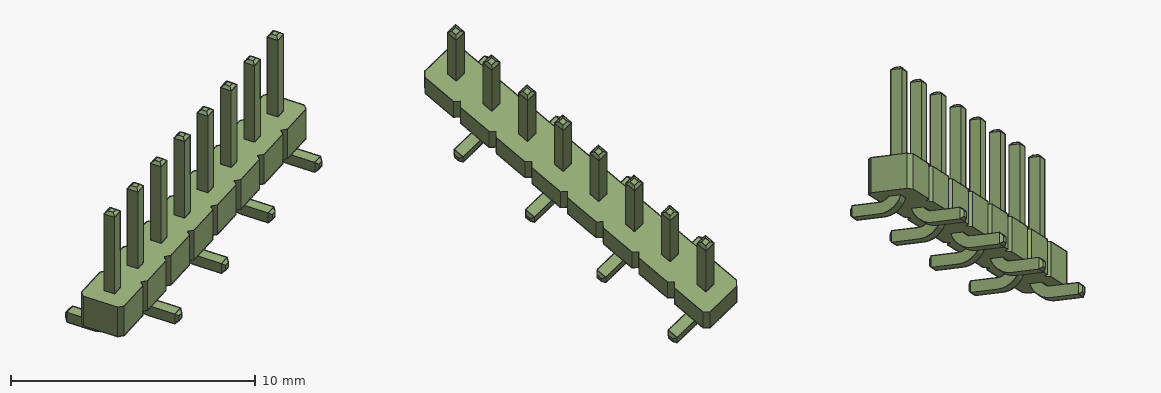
import cadquery as cq
import math


pin_count = 8
row_length = 16
pitch = row_length / pin_count
housing_width = pitch
housing_height = 1.5
housing_bottom = 0.7
corner_chamfer = pitch / 10

pin_size = pitch / 4
pin_top = 6.2
leg_reach = 2.1
bend_inner_radius = pin_size
bend_outer_radius = bend_inner_radius + pin_size
tip_chamfer = pin_size / 4


def housing_segment(y):
    """One cell of the housing, centred on y; chamfers of neighbours form the notches."""
    return (
        cq.Workplane("XY", origin=(0, y, housing_bottom))
        .rect(housing_width, pitch)
        .extrude(housing_height)
        .edges("|Z")
        .chamfer(corner_chamfer)
    )


def bent_pin():
    """Upright pin with its leg bent towards -X, centred on Y = 0."""
    half = pin_size / 2
    bend_x = half - bend_outer_radius
    bend_z = bend_outer_radius

    def bend_middle(radius):
        """Point halfway round the bend, at the given radius from its centre."""
        offset = radius * math.sqrt(0.5)
        return (bend_x + offset, bend_z - offset)

    return (
        cq.Workplane("XZ")
        .moveTo(-leg_reach, 0)
        .lineTo(bend_x, 0)
        .threePointArc(bend_middle(bend_outer_radius), (half, bend_z))
        .lineTo(half, pin_top)
        .lineTo(-half, pin_top)
        .lineTo(-half, bend_z)
        .threePointArc(bend_middle(bend_inner_radius), (bend_x, pin_size))
        .lineTo(-leg_reach, pin_size)
        .close()
        .extrude(half, both=True)
        .faces(">Z or <X")
        .chamfer(tip_chamfer)
    )


left_pin = bent_pin()
right_pin = left_pin.mirror("YZ")

result = cq.Workplane("XY")
for index in range(pin_count):
    y = (index - (pin_count - 1) / 2) * pitch
    pin = left_pin if index % 2 == 0 else right_pin
    result = result.union(housing_segment(y)).union(pin.translate((0, y, 0)))
result = result.clean()